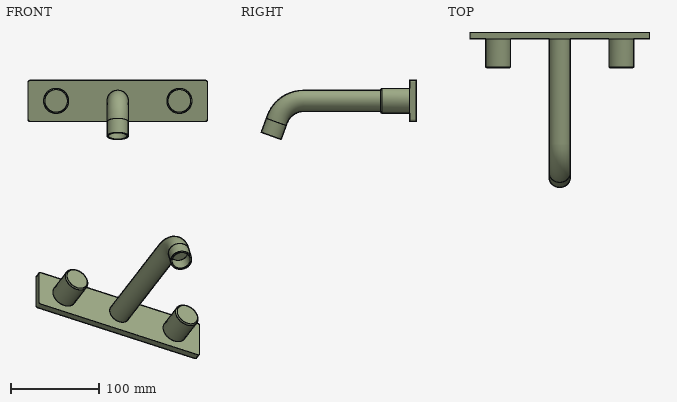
import cadquery as cq
import math


plate_width = 204.0
plate_height = 47.0
plate_thickness = 7.5
corner_radius = 2.5

knob_diameter = 28.5
knob_length = 33.0
knob_chamfer = 1.5
knob_offset = 70.0

total_depth = 176.3
tube_diameter = 24.3
bend_radius = 32.0
bend_angle = 70.0
collar_length = 3.0

outlet_length = 17.0
outlet_bore = 20.8

tube_radius = tube_diameter / 2
sine = math.sin(math.radians(bend_angle))
cosine = math.cos(math.radians(bend_angle))
half_sine = math.sin(math.radians(bend_angle / 2))
half_cosine = math.cos(math.radians(bend_angle / 2))
end_length = collar_length + outlet_length
straight_length = (
    total_depth - plate_thickness
    - bend_radius * sine - end_length * cosine - tube_radius * sine
)
flow_direction = (0, -cosine, -sine)


def make_plate():
    """Rectangular back plate with rounded corners."""
    return (
        cq.Workplane("XZ")
        .rect(plate_width, plate_height)
        .extrude(-plate_thickness)
        .edges("|Y")
        .fillet(corner_radius)
    )


def make_knob(x):
    """Round knob standing on the plate, chamfered at its front rim."""
    return (
        cq.Workplane("XZ")
        .center(x, 0)
        .circle(knob_diameter / 2)
        .extrude(knob_length)
        .faces("<Y")
        .chamfer(knob_chamfer)
    )


def bend_point(along, down):
    """Point in the YZ plane, measured outward from the bend start and downward."""
    return (-straight_length - along, -down)


bend_middle = bend_point(bend_radius * half_sine, bend_radius * (1 - half_cosine))
bend_end = bend_point(bend_radius * sine, bend_radius * (1 - cosine))
collar_end = (bend_end[0] - collar_length * cosine, bend_end[1] - collar_length * sine)


def make_spout():
    """Round spout: straight run, downward bend and short straight collar."""
    centre_line = (
        cq.Workplane("YZ")
        .lineTo(-straight_length, 0)
        .threePointArc(bend_middle, bend_end)
        .lineTo(*collar_end)
    )
    return cq.Workplane("XZ").circle(tube_radius).sweep(centre_line)


def make_outlet():
    """Open sleeve continuing the spout along the flow direction."""
    outlet_start = cq.Plane(
        origin=(0, *collar_end), xDir=(1, 0, 0), normal=flow_direction
    )
    return (
        cq.Workplane(outlet_start)
        .circle(tube_radius)
        .circle(outlet_bore / 2)
        .extrude(outlet_length)
    )


plate = make_plate()
knobs = [make_knob(side * knob_offset) for side in (-1, 1)]
spout = make_spout()
outlet = make_outlet()

result = cq.Compound.makeCompound(
    [plate.val(), *[knob.val() for knob in knobs], spout.val(), outlet.val()]
)